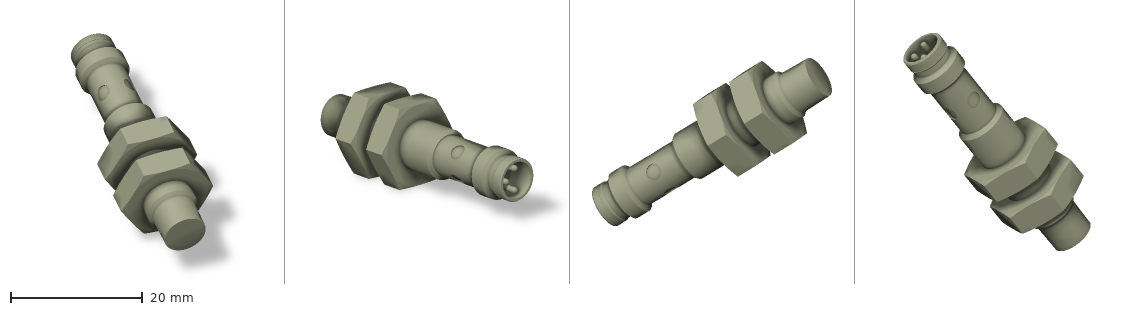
import cadquery as cq
import math

thread_d = 8.0
shoulder_d = 6.9
neck_d = 6.5
bead_d = 6.9
bead_groove_d = 6.75
mouth_d = 6.65
rear_end_d = 6.65

bead_lead_in_end = 0.15
bead_groove_start = 1.25
bead_groove_end = 1.7
bead_end = 1.8
bead_taper_end = 2.0
collar_start = 3.05
collar_end = 6.5
sleeve_start = 15.45
sleeve_end = 36.0
housing_length = 40.95
edge_bevel = 0.6

socket_d = 5.8
socket_depth = 4.5
pin_d = 1.0
pin_circle_r = 1.75
pin_tip_x = 0.12
pin_count = 3
pin_step_angle = 90
first_pin_angle = -90

window_d = 2.5
window_x = 11.02
window_floor_d = 6.0
window_count = 4
first_window_angle = 45

nut_across_flats = 13.0
nut_thickness = 4.0
nut_corner_bevel = 0.3
first_nut_x = 22.3
nut_pitch = 6.95
nut_count = 2


def axial_cylinder(diameter, start, length):
    return cq.Workplane("YZ", origin=(start, 0, 0)).circle(diameter / 2).extrude(length)


def turned_blank():
    """Solid of revolution for the whole outside of the housing."""
    outline = [
        (0, 0),
        (0, mouth_d / 2),
        (bead_lead_in_end, bead_d / 2),
        (bead_groove_start, bead_d / 2),
        (bead_groove_start, bead_groove_d / 2),
        (bead_groove_end, bead_groove_d / 2),
        (bead_groove_end, bead_d / 2),
        (bead_end, bead_d / 2),
        (bead_taper_end, neck_d / 2),
        (collar_start, neck_d / 2),
        (collar_start + edge_bevel, thread_d / 2),
        (collar_end - edge_bevel, thread_d / 2),
        (collar_end, neck_d / 2),
        (sleeve_start, neck_d / 2),
        (sleeve_start, shoulder_d / 2),
        (sleeve_start + edge_bevel, thread_d / 2),
        (sleeve_end - edge_bevel, thread_d / 2),
        (sleeve_end, shoulder_d / 2),
        (housing_length, rear_end_d / 2),
        (housing_length, 0),
    ]
    return cq.Workplane("XY").polyline(outline).close().revolve(360, (0, 0, 0), (1, 0, 0))


def contact_pin(angle):
    """Round-nosed pin standing on the socket floor, at an angle from +Y towards +Z."""
    y = pin_circle_r * math.cos(math.radians(angle))
    z = pin_circle_r * math.sin(math.radians(angle))
    nose_r = pin_d / 2
    nose_center_x = pin_tip_x + nose_r
    shank = axial_cylinder(pin_d, nose_center_x, socket_depth - nose_center_x + nose_r)
    nose = cq.Workplane("XY").sphere(nose_r).rotate((0, 0, 0), (0, 1, 0), 90).translate((nose_center_x, 0, 0))
    return shank.union(nose).translate((0, y, z))


def window_cutter(angle):
    """Radial cutter whose floor follows a cylinder about the housing axis."""
    drill = cq.Workplane("XY", origin=(window_x, 0, 0)).circle(window_d / 2).extrude(thread_d / 2)
    core = axial_cylinder(window_floor_d, window_x - window_d, 2 * window_d)
    return drill.cut(core).rotate((0, 0, 0), (1, 0, 0), angle)


def make_housing():
    housing = turned_blank().cut(axial_cylinder(socket_d, 0, socket_depth))
    for i in range(pin_count):
        housing = housing.union(contact_pin(first_pin_angle + i * pin_step_angle))
    for i in range(window_count):
        housing = housing.cut(window_cutter(first_window_angle + i * 360 / window_count))
    return housing


def make_nut(start):
    """Hexagonal nut with corners towards +Y and -Y, bevelled on both faces."""
    corner_r = nut_across_flats / math.sqrt(3)
    flat_r = nut_across_flats / 2
    end = start + nut_thickness
    hexagon = cq.Workplane("YZ", origin=(start, 0, 0)).polygon(6, 2 * corner_r).extrude(nut_thickness)
    bevel_outline = [
        (start, 0),
        (start, flat_r),
        (start + nut_corner_bevel, corner_r),
        (end - nut_corner_bevel, corner_r),
        (end, flat_r),
        (end, 0),
    ]
    bevel_limit = cq.Workplane("XY").polyline(bevel_outline).close().revolve(360, (0, 0, 0), (1, 0, 0))
    return hexagon.intersect(bevel_limit).cut(axial_cylinder(thread_d, start, nut_thickness))


housing = make_housing()
nuts = [make_nut(first_nut_x + i * nut_pitch) for i in range(nut_count)]

result = cq.Compound.makeCompound([housing.val(), *[nut.val() for nut in nuts]])